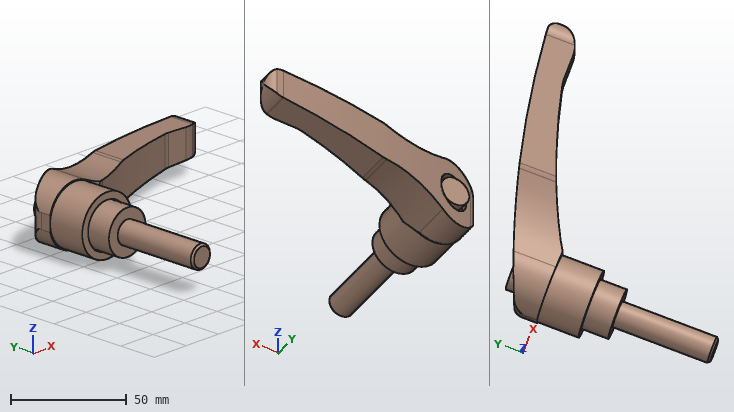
import cadquery as cq
import math


sleeve_diameter = 31.0
sleeve_length = 19.2
recess_diameter = 23.7
recess_depth = 2.5
collar_diameter = 23.0
collar_end = 31.4
stud_diameter = 12.0
stud_end = 76.1
stud_chamfer = 1.0

button_diameter = 14.3
button_top = 17.8
button_hole_diameter = 17.0
button_hole_floor = 10.0

overall_length = 125.4
head_diameter = 32.0
head_radius = head_diameter / 2
head_back = -sleeve_diameter / 2
neck_start_x = 7.5
neck_mid_x = 25.1
neck_mid_half_width = 9.3
neck_end_x = 43.1
neck_end_half_width = 9.4
grip_start_x = 45.4
grip_start_half_width = 9.5
tip_x = 102.5
tip_end = overall_length + head_back
tip_radius = tip_end - tip_x
lever_top = 41.5
grip_underside = 26.8
head_flat_height = 5.3
cut_clearance = 1.3


def cylinder(diameter, start_y, end_y):
    """Cylinder on the clamping axis between two heights."""
    return (
        cq.Workplane("XZ", origin=(0, end_y, 0))
        .circle(diameter / 2)
        .extrude(end_y - start_y)
    )


def lever_side_profile():
    """Curved lever outline seen across its width, extruded wider than the head."""
    return (
        cq.Workplane("XY")
        .moveTo(head_back, 0)
        .lineTo(head_back, head_flat_height)
        .threePointArc((-14.4, 9.7), (-11.2, 12.3))
        .threePointArc((43.4, 31.0), (tip_x, 41.3))
        .lineTo(105.8, lever_top)
        .threePointArc((108.6, 40.1), (tip_end, 37.1))
        .threePointArc((107.6, 31.4), (102.8, 28.0))
        .lineTo(101.6, 27.5)
        .threePointArc((99.2, 27.0), (96.8, grip_underside))
        .lineTo(86.0, grip_underside)
        .lineTo(83.5, 26.5)
        .threePointArc((50.7, 16.5), (19.7, 2.5))
        .lineTo(-head_back, 0)
        .close()
        .extrude(head_radius + cut_clearance, both=True)
    )


def lever_width_outline():
    """Round head, waisted neck and tapered grip, extruded through the lever height."""
    neck_half_width = math.sqrt(head_radius**2 - neck_start_x**2)
    upper_half = (
        cq.Workplane("XZ", origin=(0, lever_top + cut_clearance, 0))
        .moveTo(-head_radius, 0)
        .threePointArc((0, head_radius), (neck_start_x, neck_half_width))
        .threePointArc((neck_mid_x, neck_mid_half_width), (neck_end_x, neck_end_half_width))
        .tangentArcPoint((grip_start_x, grip_start_half_width), relative=False)
        .lineTo(tip_x, tip_radius)
        .threePointArc(
            (tip_x + tip_radius * math.sqrt(0.5), tip_radius * math.sqrt(0.5)), (tip_end, 0)
        )
        .close()
        .extrude(lever_top + 2 * cut_clearance)
    )
    return upper_half.union(upper_half.mirror("XY"))


def build_lever():
    lever = lever_side_profile().intersect(lever_width_outline())
    return lever.cut(cylinder(button_hole_diameter, button_hole_floor, lever_top))


sleeve = cylinder(sleeve_diameter, -sleeve_length, 0).cut(
    cylinder(recess_diameter, -sleeve_length, -sleeve_length + recess_depth)
)
collar = cylinder(collar_diameter, -collar_end, 0)
stud = cylinder(stud_diameter, -stud_end, 0).faces("<Y").chamfer(stud_chamfer)
button = cylinder(button_diameter, 0, button_top)

result = build_lever().union(sleeve).union(collar).union(stud).union(button)